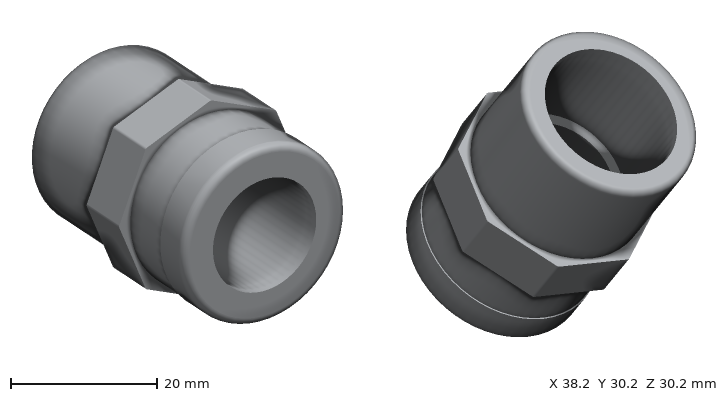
import cadquery as cq
import math

length = 38.2
body_diameter = 26.5
inlet_edge_radius = 1.05

wrench_across_flats = 28.0
wrench_sides = 8
wrench_corner_diameter = wrench_across_flats / math.cos(math.pi / wrench_sides)
wrench_corner_radius = 0.5
wrench_start = 17.0
wrench_width = 8.0

band_diameter = 26.9
band_start = 32.62
band_edge_radius = 1.15

bore_diameter = 17.0
socket_diameter = 20.0
socket_depth = wrench_start


def cylinder(start, end, diameter):
    """Solid cylinder on the X axis between two X positions."""
    return cq.Workplane("YZ", origin=(start, 0, 0)).circle(diameter / 2).extrude(end - start)


body = cylinder(0, band_start, body_diameter).faces("<X").edges().fillet(inlet_edge_radius)
band = cylinder(band_start, length, band_diameter).faces(">X").edges().fillet(band_edge_radius)
wrench_collar = (
    cq.Workplane("YZ", origin=(wrench_start, 0, 0))
    .polygon(wrench_sides, wrench_corner_diameter)
    .extrude(wrench_width)
    .edges("|X")
    .fillet(wrench_corner_radius)
)

bore = cylinder(0, length, bore_diameter)
socket = cylinder(0, socket_depth, socket_diameter)

result = body.union(band).union(wrench_collar).cut(bore).cut(socket)